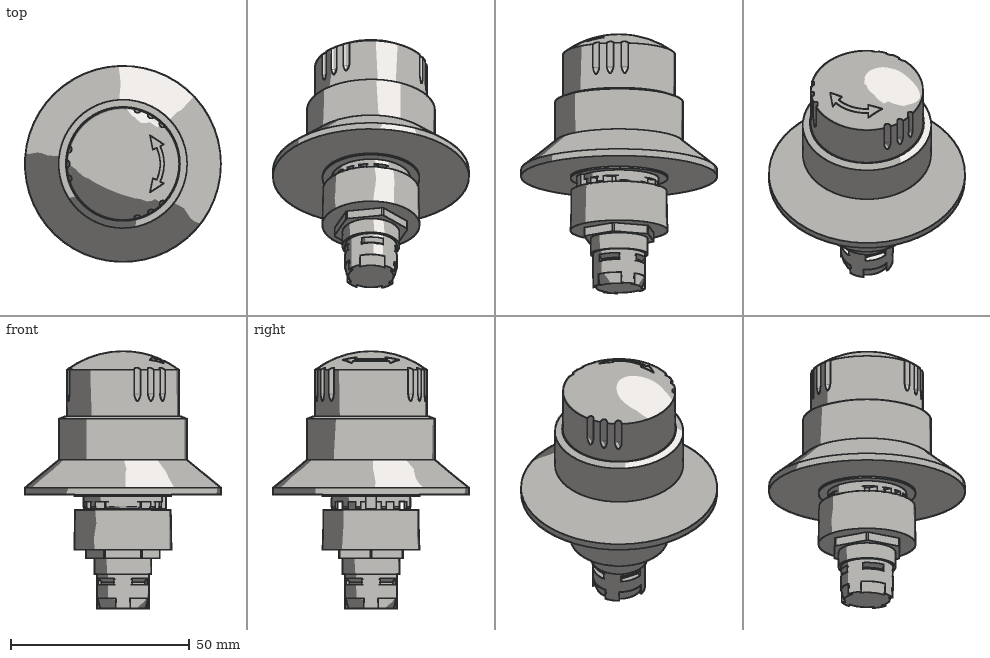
import cadquery as cq
import math

total_height = 72.2
tail_top = 9.7
shaft_top = 14.1
hex_top = 16.5
barrel_top = 27.7
ring_bottom = 28.0
ring_top = 31.45
flange_bottom = 31.95
flange_rim_top = 33.9
skirt_top = 41.7
collar_edge = 53.2
collar_top = 54.0
cap_shoulder = 66.9

tail_diameter = 14.65
shaft_diameter = 16.0
hex_sides = 6
hex_across_flats = 18.2
hex_corner_diameter = 20.7
barrel_top_diameter = 26.9
barrel_bottom_diameter = 27.3
seal_diameter = 27.2
ring_diameter = 22.15
ring_bore = 18.8
flange_diameter = 55.0
collar_diameter = 36.0
collar_top_diameter = 32.0
cap_diameter = 31.5
dome_edge_diameter = 31.1
dome_radius = 26.0

slot_width = 2.05
slot_pitch = 3.57
slots_per_half = 3
slot_top = 30.0
slot_inner_end = 1.0
ring_chamfer_width = 0.2
ring_chamfer_height = 0.6
key_width = 3.0
key_reach = 12.1

window_bottom = 6.65
window_height = 1.9
window_width = 6.1
window_depth = 1.8
window_back_height = 0.8
pocket_height = 3.0
pocket_width = 7.0
pocket_top_radius = 7.2
pocket_mid_radius = 6.95
pocket_bottom_radius = 6.35
latch_angles = [45, 135, 225, 315]

groove_radius = 1.0
groove_axis_radius = 15.9
groove_straight_bottom = 60.3
groove_tip_height = 2.3
groove_tip_bulge = 0.72
groove_group_angles = [60, 180, 300]
groove_step_angle = 15

arrow_radius = 11.0
arrow_shaft_half_width = 0.55
arrow_head_half_width = 1.7
arrow_shaft_half_angle = 25.5
arrow_tip_angle = 46.4
arrow_depth = 0.1


def disc(diameter, bottom, top):
    return cq.Workplane("XY").workplane(offset=bottom).circle(diameter / 2).extrude(top - bottom)


def truncated_cone(bottom_diameter, top_diameter, bottom, top):
    base = cq.Workplane("XY").workplane(offset=bottom).circle(bottom_diameter / 2)
    return base.workplane(offset=top - bottom).circle(top_diameter / 2).loft(ruled=True)


def polar(radius, degrees):
    angle = math.radians(degrees)
    return (radius * math.cos(angle), radius * math.sin(angle))


def block(x_min, x_max, width, bottom, top, y_center=0):
    """Box spanning x_min to x_max, centred on y_center."""
    plan = cq.Workplane("XY").workplane(offset=bottom).center((x_min + x_max) / 2, y_center)
    return plan.rect(x_max - x_min, width).extrude(top - bottom)


def make_head():
    """Flange, collar and domed cap as one revolved profile."""
    cap_radius = cap_diameter / 2
    dome_center = total_height - dome_radius
    dome_edge_radius = dome_edge_diameter / 2
    dome_edge_height = dome_center + math.sqrt(dome_radius**2 - dome_edge_radius**2)
    mid_radius = dome_edge_radius / 2
    dome_mid = (mid_radius, dome_center + math.sqrt(dome_radius**2 - mid_radius**2))
    profile = (
        cq.Workplane("XZ")
        .moveTo(0, flange_bottom)
        .lineTo(flange_diameter / 2, flange_bottom)
        .lineTo(flange_diameter / 2, flange_rim_top)
        .lineTo(collar_diameter / 2, skirt_top)
        .lineTo(collar_diameter / 2, collar_edge)
        .lineTo(collar_top_diameter / 2, collar_top)
        .lineTo(cap_radius, collar_top)
        .lineTo(cap_radius, cap_shoulder)
        .lineTo(dome_edge_radius, dome_edge_height)
        .threePointArc(dome_mid, (0, total_height))
        .close()
    )
    return profile.revolve(360, (0, 0, 0), (0, 1, 0))


def make_groove():
    """Cutter for one grip groove: a round bar with a pointed, bulging lower end."""
    tip_mid = (
        groove_tip_bulge * groove_radius,
        groove_straight_bottom - groove_tip_height / 2,
    )
    profile = (
        cq.Workplane("XZ")
        .moveTo(0, groove_straight_bottom - groove_tip_height)
        .threePointArc(tip_mid, (groove_radius, groove_straight_bottom))
        .lineTo(groove_radius, total_height)
        .lineTo(0, total_height)
        .close()
    )
    return profile.revolve(360, (0, 0, 0), (0, 1, 0)).translate((groove_axis_radius, 0, 0))


def cut_grooves(body):
    groove = make_groove()
    for group_angle in groove_group_angles:
        for step in (-1, 0, 1):
            angle = group_angle + step * groove_step_angle
            body = body.cut(groove.rotate((0, 0, 0), (0, 0, 1), angle))
    return body


def make_arrow():
    """Cutter for the arrow: its outline limited to a thin layer under the dome."""
    inner = arrow_radius - arrow_shaft_half_width
    outer = arrow_radius + arrow_shaft_half_width
    end = arrow_shaft_half_angle
    outline = (
        cq.Workplane("XY")
        .workplane(offset=cap_shoulder)
        .moveTo(*polar(outer, -end))
        .threePointArc((outer, 0), polar(outer, end))
        .lineTo(*polar(arrow_radius + arrow_head_half_width, end))
        .lineTo(*polar(arrow_radius, arrow_tip_angle))
        .lineTo(*polar(arrow_radius - arrow_head_half_width, end))
        .lineTo(*polar(inner, end))
        .threePointArc((inner, 0), polar(inner, -end))
        .lineTo(*polar(arrow_radius - arrow_head_half_width, -end))
        .lineTo(*polar(arrow_radius, -arrow_tip_angle))
        .lineTo(*polar(arrow_radius + arrow_head_half_width, -end))
        .close()
    )
    prism = outline.extrude(total_height - cap_shoulder)
    core = cq.Workplane("XY").sphere(dome_radius - arrow_depth)
    return prism.cut(core.translate((0, 0, total_height - dome_radius)))


def make_ring():
    """Castellated ring with slots running along X and a key on the +X side."""
    lead_in_diameter = ring_diameter - 2 * ring_chamfer_width
    lead_in_top = ring_bottom + ring_chamfer_height
    ring = truncated_cone(lead_in_diameter, ring_diameter, ring_bottom, lead_in_top)
    ring = ring.union(disc(ring_diameter, lead_in_top, ring_top))
    ring = ring.cut(disc(ring_bore, ring_bottom, ring_top))
    for index in range(slots_per_half):
        offset = (index + 0.5) * slot_pitch
        for y_center in (-offset, offset):
            slot = block(slot_inner_end, ring_diameter, slot_width, ring_bottom, slot_top, y_center)
            ring = ring.cut(slot).cut(slot.mirror("YZ"))
    ring_middle_radius = (ring_diameter + ring_bore) / 4
    key = block(ring_middle_radius, key_reach, key_width, ring_bottom, ring_top)
    return ring.union(key)


def make_barrel():
    """Round barrel widening slightly towards its lower end."""
    return truncated_cone(barrel_bottom_diameter, barrel_top_diameter, hex_top, barrel_top)


def make_hex():
    """Hexagon with corners on the X axis, trimmed to a round."""
    corner_to_corner = hex_across_flats / math.cos(math.pi / hex_sides)
    nut = cq.Workplane("XY").workplane(offset=shaft_top).polygon(hex_sides, corner_to_corner)
    nut = nut.extrude(hex_top - shaft_top)
    return nut.intersect(disc(hex_corner_diameter, shaft_top, hex_top))


def make_window():
    """Cutter for one latch window: flat floor and back, conical roof sloping down inwards."""
    face = tail_diameter / 2
    roof_drop = window_height - window_back_height
    top = window_bottom + window_height
    below_roof = (
        cq.Workplane("XZ")
        .moveTo(0, window_bottom)
        .lineTo(face, window_bottom)
        .lineTo(face, top)
        .lineTo(face - roof_drop, top - roof_drop)
        .lineTo(0, top - roof_drop)
        .close()
        .revolve(360, (0, 0, 0), (0, 1, 0))
    )
    return block(face - window_depth, face, window_width, window_bottom, top).intersect(below_roof)


def make_pocket():
    """Cutter for one lead-in pocket with a rounded floor narrowing downwards."""
    floor = (
        cq.Workplane("XZ")
        .lineTo(pocket_bottom_radius, 0)
        .threePointArc((pocket_mid_radius, pocket_height / 2), (pocket_top_radius, pocket_height))
        .lineTo(0, pocket_height)
        .close()
        .revolve(360, (0, 0, 0), (0, 1, 0))
    )
    return block(0, tail_diameter, pocket_width, 0, pocket_height).cut(floor)


def make_tail():
    tail = disc(tail_diameter, 0, tail_top)
    latch = make_window().union(make_pocket())
    for angle in latch_angles:
        tail = tail.cut(latch.rotate((0, 0, 0), (0, 0, 1), angle))
    return tail


head = cut_grooves(make_head()).cut(make_arrow())

result = (
    make_tail()
    .union(disc(shaft_diameter, tail_top, flange_bottom))
    .union(make_hex())
    .union(make_barrel())
    .union(make_ring())
    .union(disc(seal_diameter, ring_top, flange_bottom))
    .union(head)
)